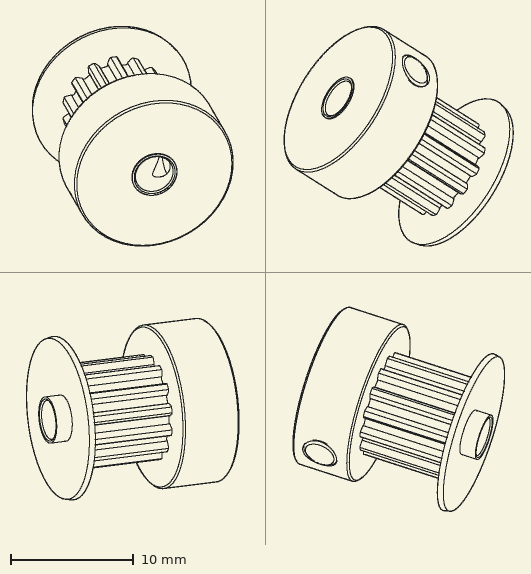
import cadquery as cq
import math

overall_length = 14.29
hub_width = 4.97
tail_length = 0.11
hub_end = overall_length - tail_length
hub_start = hub_end - hub_width

sleeve_radius = 1.9
bore_radius = 1.6
bore_chamfer = 0.13

hub_radius = 6.73
hub_chamfer = 0.16

flange_back = 1.87
flange_thickness = 0.5
flange_flat_radius = 4.52
flange_radius = hub_radius
flange_cone_rise = 0.49

tooth_count = 14
tip_radius = 4.35
floor_radius = 3.59
floor_half_width = 0.19
root_half_width = 0.35
root_height = 0.21
shoulder_half_width = 0.59
shoulder_height = 0.59
land_half_angle = 3.2

cut_clearance = 0.15

screw_offset = 0.06
screw_x = hub_start + hub_width / 2 + screw_offset
screw_radius = 1.5
screw_chamfer = 0.25
screw_length = 5.0
screw_head_y = hub_radius
screw_tip_y = screw_head_y - screw_length


def x_cylinder(radius, start, end):
    """Solid cylinder on the X axis between two X positions."""
    return cq.Workplane("YZ").workplane(offset=start).circle(radius).extrude(end - start)


def make_flange():
    """Sheet of constant thickness: flat disc with a conical rim."""
    cone_run = flange_radius - flange_flat_radius
    slope = math.atan2(flange_cone_rise, cone_run)
    rim_back_x = flange_back - flange_cone_rise
    rim_front_x = rim_back_x - flange_thickness * math.cos(slope)
    rim_front_radius = flange_radius - flange_thickness * math.sin(slope)
    face_x = flange_back - flange_thickness
    bend_radius = flange_flat_radius - flange_thickness * math.tan(slope / 2)
    return (
        cq.Workplane("XY")
        .moveTo(face_x, 0)
        .lineTo(face_x, bend_radius)
        .lineTo(rim_front_x, rim_front_radius)
        .lineTo(rim_back_x, flange_radius)
        .lineTo(flange_back, flange_flat_radius)
        .lineTo(flange_back, 0)
        .close()
        .revolve(360, (0, 0, 0), (1, 0, 0))
    )


def make_groove():
    """Cutter for one belt groove centred on +Y, built as one half and its mirror image."""
    land_angle = math.radians(180 / tooth_count - land_half_angle)
    land_y = tip_radius * math.cos(land_angle)
    land_z = tip_radius * math.sin(land_angle)
    outside_y = tip_radius + cut_clearance
    half = (
        cq.Workplane("YZ")
        .workplane(offset=flange_back)
        .moveTo(floor_radius, 0)
        .lineTo(floor_radius, floor_half_width)
        .tangentArcPoint((floor_radius + root_height, root_half_width), relative=False)
        .lineTo(floor_radius + shoulder_height, shoulder_half_width)
        .tangentArcPoint((land_y, land_z), relative=False)
        .lineTo(outside_y, land_z)
        .lineTo(outside_y, 0)
        .close()
        .extrude(hub_start - flange_back)
    )
    return half.union(half.mirror("XY"))


def make_toothed_barrel():
    """Cylinder between flange and hub with evenly spaced belt grooves."""
    barrel = x_cylinder(tip_radius, flange_back, hub_start)
    groove = make_groove()
    for index in range(tooth_count):
        barrel = barrel.cut(groove.rotate((0, 0, 0), (1, 0, 0), index * 360 / tooth_count))
    return barrel


def make_screw():
    """Plain set screw with a chamfered outer end, reaching from the hub rim to just short of the bore."""
    return (
        cq.Workplane("XZ", origin=(screw_x, screw_tip_y, 0))
        .circle(screw_radius)
        .extrude(-screw_length)
        .faces(">Y")
        .chamfer(screw_chamfer)
    )


def make_screw_hole():
    """Cutter for the set screw hole, from the axis out past the hub rim."""
    hole_length = hub_radius + cut_clearance
    return cq.Workplane("XZ", origin=(screw_x, 0, 0)).circle(screw_radius).extrude(-hole_length)


def make_pulley():
    """Sleeve, flange, toothed barrel and hub as one solid, bored and cross-drilled."""
    sleeve = x_cylinder(sleeve_radius, 0, overall_length)
    hub = x_cylinder(hub_radius, hub_start, hub_end).edges("%CIRCLE").chamfer(hub_chamfer)
    body = sleeve.union(make_flange()).union(make_toothed_barrel()).union(hub)
    bore = x_cylinder(bore_radius, 0, overall_length)
    body = body.cut(bore)
    body = body.faces("<X or >X").edges(cq.selectors.RadiusNthSelector(0)).chamfer(bore_chamfer)
    return body.cut(make_screw_hole())


pulley = make_pulley()
screw = make_screw()

result = cq.Compound.makeCompound([pulley.val(), screw.val()])